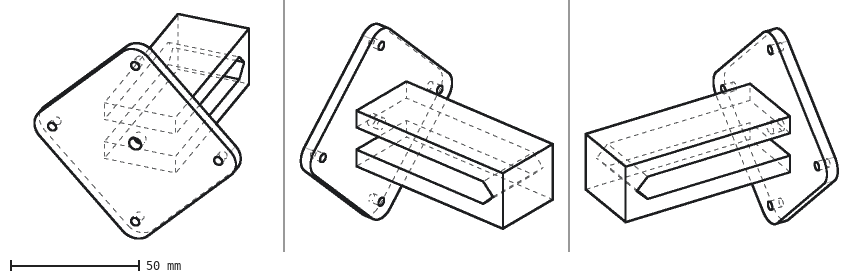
import cadquery as cq
import math

overall_width = 84.9
corner_radius = 7.5
plate_thickness = 5.0
mount_hole_diameter = 3.4
center_hole_diameter = 5.0

arm_length = 75.0
arm_width = 30.0
arm_height = 25.0
slot_height = 10.0
end_wall = 5.0

hole_offset = overall_width / 2 - corner_radius
plate_side = math.sqrt(2) * hole_offset + 2 * corner_radius
arm_end = plate_thickness + arm_length


def make_plate():
    plate = (
        cq.Workplane("XY")
        .box(plate_side, plate_thickness, plate_side, centered=(True, False, True))
        .edges("|Y")
        .fillet(corner_radius)
        .rotate((0, 0, 0), (0, 1, 0), 45)
    )
    return (
        plate.faces("<Y")
        .workplane(origin=(0, 0, 0))
        .polarArray(hole_offset, 0, 360, 4)
        .hole(mount_hole_diameter)
        .faces("<Y")
        .workplane(origin=(0, 0, 0))
        .hole(center_hole_diameter)
    )


def make_arm():
    arm = (
        cq.Workplane("XY")
        .box(arm_width, arm_length, arm_height, centered=(True, False, True))
        .translate((0, plate_thickness, 0))
    )
    half_slot = slot_height / 2
    tip = arm_end - end_wall
    shoulder = tip - half_slot
    slot = (
        cq.Workplane("YZ")
        .moveTo(plate_thickness, -half_slot)
        .lineTo(shoulder, -half_slot)
        .lineTo(tip, 0)
        .lineTo(shoulder, half_slot)
        .lineTo(plate_thickness, half_slot)
        .close()
        .extrude(arm_width / 2, both=True)
    )
    return arm.cut(slot)


result = make_plate().union(make_arm())